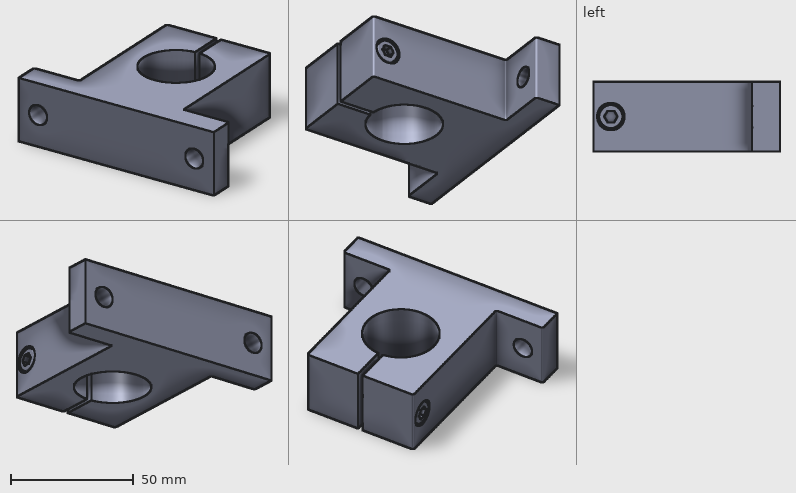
import cadquery as cq
import math

BASE_WIDTH = 95.25
HEIGHT = 76.2
THICKNESS = 28.6
FLANGE_HEIGHT = 11.4
BLOCK_WIDTH = 50.8
CORNER_RADIUS = 1.0
INNER_FILLET_RADIUS = 0.7
BORE_DIAMETER = 31.6
BORE_Y = 44.5
SLIT_WIDTH = 2.2
MOUNT_HOLE_DIAMETER = 8.8
MOUNT_HOLE_SPACING = 76.2

SCREW_DIAMETER = 6.4
SCREW_FROM_TOP = 7.1
HEAD_DIAMETER = 9.5
HEAD_EDGE_RADIUS = 0.3
HEAD_HEIGHT = SCREW_DIAMETER
COUNTERBORE_DIAMETER = 11.1
HEX_SIDES = 6
HEX_ACROSS_FLATS = 4.7
HEX_DEPTH = HEAD_HEIGHT / 2
SCREW_REACH = 14.3

half_base = BASE_WIDTH / 2
half_block = BLOCK_WIDTH / 2
middle_z = THICKNESS / 2
screw_y = HEIGHT - SCREW_FROM_TOP
seat_x = -half_block + HEAD_HEIGHT
hex_across_corners = HEX_ACROSS_FLATS / math.cos(math.pi / HEX_SIDES)


def cylinder_along_x(diameter, start_x, end_x):
    """Cylinder on the clamp screw axis between two X positions."""
    plane = cq.Plane(origin=(start_x, screw_y, middle_z), xDir=(0, 1, 0), normal=(1, 0, 0))
    return cq.Workplane(plane).circle(diameter / 2).extrude(end_x - start_x)


def make_body():
    """Inverted-T outline with rounded outer corners and filleted inner corners."""
    outline = [
        (-half_base, 0),
        (half_base, 0),
        (half_base, FLANGE_HEIGHT),
        (half_block, FLANGE_HEIGHT),
        (half_block, HEIGHT),
        (-half_block, HEIGHT),
        (-half_block, FLANGE_HEIGHT),
        (-half_base, FLANGE_HEIGHT),
    ]
    body = cq.Workplane("XY").polyline(outline).close().extrude(THICKNESS)
    body = body.faces(">Y").edges("|Z").fillet(CORNER_RADIUS)
    body = body.faces("<X or >X").edges("|Z and (not <Y)").fillet(CORNER_RADIUS)
    inner_region = cq.selectors.BoxSelector(
        (-half_block - INNER_FILLET_RADIUS, FLANGE_HEIGHT - INNER_FILLET_RADIUS, 0),
        (half_block + INNER_FILLET_RADIUS, FLANGE_HEIGHT + INNER_FILLET_RADIUS, THICKNESS),
    )
    return body.edges("|Z").edges(inner_region).fillet(INNER_FILLET_RADIUS)


def make_bore():
    return cq.Workplane("XY").center(0, BORE_Y).circle(BORE_DIAMETER / 2).extrude(THICKNESS)


def make_slit():
    """Clamping slit from the bore through the top."""
    slit_height = HEIGHT - BORE_Y
    return (
        cq.Workplane("XY")
        .center(0, BORE_Y + slit_height / 2)
        .rect(SLIT_WIDTH, slit_height)
        .extrude(THICKNESS)
    )


def make_mount_holes():
    return (
        cq.Workplane("XZ", origin=(0, 0, middle_z))
        .rarray(MOUNT_HOLE_SPACING, 1, 2, 1)
        .circle(MOUNT_HOLE_DIAMETER / 2)
        .extrude(-FLANGE_HEIGHT)
    )


def make_screw_recess():
    """Counterbore for the head and a close-fitting hole for the shank."""
    counterbore = cylinder_along_x(COUNTERBORE_DIAMETER, -half_block, seat_x)
    shank_hole = cylinder_along_x(SCREW_DIAMETER, seat_x, SCREW_REACH)
    return counterbore.union(shank_hole)


def make_housing():
    return (
        make_body()
        .cut(make_bore())
        .cut(make_slit())
        .cut(make_mount_holes())
        .cut(make_screw_recess())
    )


def make_clamp_screw():
    """Socket head screw whose head is flush with the block side."""
    head = cylinder_along_x(HEAD_DIAMETER, -half_block, seat_x)
    head = head.faces("<X").edges().fillet(HEAD_EDGE_RADIUS)
    shank = cylinder_along_x(SCREW_DIAMETER, seat_x, SCREW_REACH)
    socket_plane = cq.Plane(
        origin=(-half_block, screw_y, middle_z), xDir=(0, 1, 0), normal=(1, 0, 0)
    )
    socket = cq.Workplane(socket_plane).polygon(HEX_SIDES, hex_across_corners).extrude(HEX_DEPTH)
    return head.union(shank).cut(socket)


housing = make_housing()
clamp_screw = make_clamp_screw()

result = cq.Compound.makeCompound([housing.val(), clamp_screw.val()])